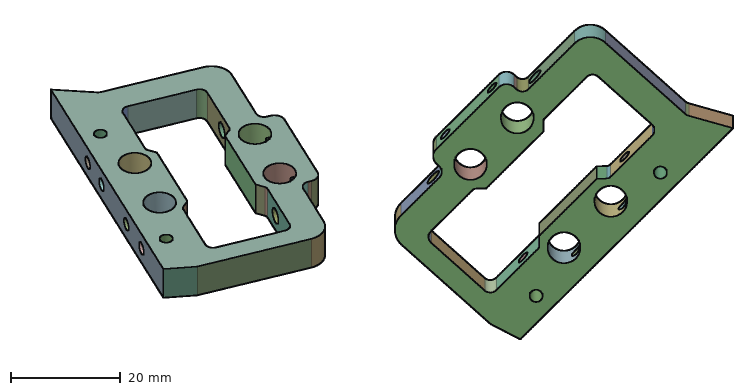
import cadquery as cq

length = 58.0
depth = 36.5
thickness = 6.7
mid_height = thickness / 2

left_wall_x = 4.0
front_right_x = 56.45
left_break_y = 7.9
right_break_y = 6.0
shoulder_y = 32.3
corner_radius = 4.0
tab_width = 20.55
tab_center_x = 31.95
tab_radius = 2.0
tab_root_radius = 1.5
left_break_radius = 1.5

feature_center_x = 31.85
window_width = 44.3
window_center_y = 18.0
window_height = 16.5
window_radius = 1.5
pad_width = 15.25
pad_rise = 1.55
pad_root_radius = 1.0

bore_diameter = 6.0
bore_spacing = 12.4
front_bore_y = 6.45
back_bore_y = 29.9
pin_diameter = 2.4
pin_spacing = 32.95
pin_y = 3.7

screw_diameter = 2.4
set_screw_center_x = 31.6
clearance_diameter = 3.0
clamp_screw_spacing = 26.9
clamp_screw_center_x = 31.95


def pair(center, spacing):
    return (center - spacing / 2, center + spacing / 2)


def make_plate():
    tab_left, tab_right = pair(tab_center_x, tab_width)
    outline = [
        (0, 0),
        (front_right_x, 0),
        (length, right_break_y),
        (length, shoulder_y),
        (tab_right, shoulder_y),
        (tab_right, depth),
        (tab_left, depth),
        (tab_left, shoulder_y),
        (left_wall_x, shoulder_y),
        (left_wall_x, left_break_y),
    ]
    plate = cq.Workplane("XY").polyline(outline).close().extrude(thickness)

    def round_corners(body, corners, radius):
        for x, y in corners:
            nearest = cq.selectors.NearestToPointSelector((x, y, mid_height))
            body = body.edges("|Z").edges(nearest).fillet(radius)
        return body

    plate = round_corners(plate, [(left_wall_x, shoulder_y), (length, shoulder_y)], corner_radius)
    plate = round_corners(plate, [(tab_left, depth), (tab_right, depth)], tab_radius)
    plate = round_corners(plate, [(left_wall_x, left_break_y)], left_break_radius)
    return round_corners(plate, [(tab_left, shoulder_y), (tab_right, shoulder_y)], tab_root_radius)


def make_pad(root_y, direction):
    """Trapezoid standing into the window from one of its long edges."""
    left, right = pair(feature_center_x, pad_width)
    tip_y = root_y + direction * pad_rise
    outline = [
        (left - pad_rise, root_y),
        (left, tip_y),
        (right, tip_y),
        (right + pad_rise, root_y),
    ]
    return cq.Workplane("XY").polyline(outline).close().extrude(thickness)


def make_window():
    front_y, back_y = pair(window_center_y, window_height)
    window = (
        cq.Workplane("XY")
        .center(feature_center_x, window_center_y)
        .rect(window_width, window_height)
        .extrude(thickness)
        .edges("|Z")
        .fillet(window_radius)
        .cut(make_pad(front_y, 1))
        .cut(make_pad(back_y, -1))
    )
    root_left, root_right = pair(feature_center_x, pad_width + 2 * pad_rise)
    for x in (root_left, root_right):
        for y in (front_y, back_y):
            nearest = cq.selectors.NearestToPointSelector((x, y, mid_height))
            window = window.edges("|Z").edges(nearest).fillet(pad_root_radius)
    return window


def vertical_hole(x, y, diameter):
    return cq.Workplane("XY").center(x, y).circle(diameter / 2).extrude(thickness)


def horizontal_hole(x, start_y, end_y, diameter):
    plane = cq.Plane(origin=(x, start_y, mid_height), xDir=(1, 0, 0), normal=(0, 1, 0))
    return cq.Workplane(plane).circle(diameter / 2).extrude(end_y - start_y)


result = make_plate().cut(make_window())

for x in pair(feature_center_x, bore_spacing):
    for y in (front_bore_y, back_bore_y):
        result = result.cut(vertical_hole(x, y, bore_diameter))
for x in pair(set_screw_center_x, bore_spacing):
    result = result.cut(horizontal_hole(x, 0, front_bore_y, screw_diameter))
    result = result.cut(horizontal_hole(x, back_bore_y, depth, screw_diameter))

for x in pair(feature_center_x, pin_spacing):
    result = result.cut(vertical_hole(x, pin_y, pin_diameter))

for x in pair(clamp_screw_center_x, clamp_screw_spacing):
    result = result.cut(horizontal_hole(x, 0, window_center_y, screw_diameter))
    result = result.cut(horizontal_hole(x, window_center_y, depth, clearance_diameter))